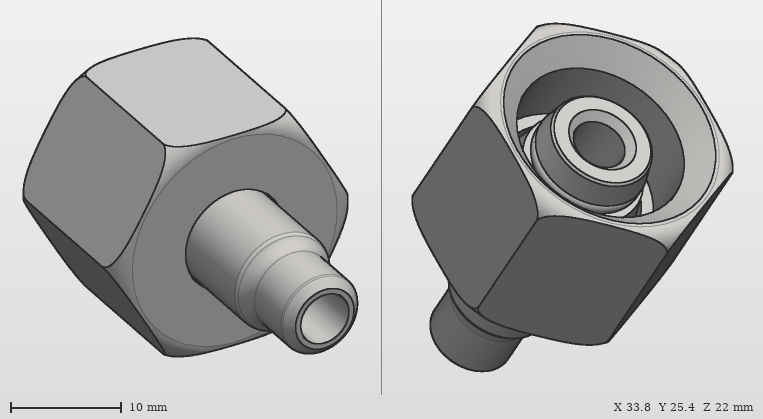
import cadquery as cq
import math

total_length = 33.75

nut_length = 17.55
across_flats = 22.0
across_corners = across_flats / math.cos(math.radians(30))
corner_round = 2.03
mouth_radius = 10.35
thread_bore_radius = 16.37 / 2
mouth_depth = mouth_radius - thread_bore_radius
thread_bore_end = 9.45
collar_radius = 14.0 / 2
shank_hole_radius = 10.23 / 2

cone_half_angle = math.radians(12)
cone_slope = math.tan(cone_half_angle)
nipple_start = 1.7
nose_radius = 4.95
nose_chamfer = 0.25
cone_start = nipple_start + nose_chamfer
cone_end = cone_start + (collar_radius - nose_radius) / cone_slope
shank_radius = 9.93 / 2
shank_end = 26.0
shoulder_round = 0.5
neck_round = 2.0
tail_radius = 8.0 / 2
tail_chamfer = 0.95
tail_edge_round = 0.27
bore_radius = 5.03 / 2
bore_chamfer = 0.78

groove_front_radius = 5.47
groove_start = cone_start + (groove_front_radius - nose_radius) / cone_slope
groove_width = 2.0
groove_end = groove_start + groove_width
groove_back_radius = groove_front_radius + groove_width * cone_slope
ring_section_radius = 0.75
ring_center_radius = groove_front_radius - ring_section_radius
groove_floor_radius = ring_center_radius - ring_section_radius


def revolve_about_x(profile):
    """Turn a closed (x, radius) profile about the X axis."""
    return profile.revolve(360, (0, 0, 0), (1, 0, 0))


def make_nut():
    hexagon = cq.Workplane("YZ").polygon(6, across_corners).extrude(nut_length)
    corner_radius = across_corners / 2
    rounded_blank = (
        cq.Workplane("YZ").circle(corner_radius).extrude(nut_length).edges().fillet(corner_round)
    )
    cavity = revolve_about_x(
        cq.Workplane("XY").polyline([
            (0, 0),
            (0, mouth_radius),
            (mouth_depth, thread_bore_radius),
            (thread_bore_end, thread_bore_radius),
            (thread_bore_end, collar_radius),
            (cone_end, collar_radius),
            (cone_end, shank_hole_radius),
            (nut_length, shank_hole_radius),
            (nut_length, 0),
        ]).close()
    )
    return hexagon.intersect(rounded_blank).cut(cavity)


def make_nipple():
    neck_angle = math.acos(1 - (shank_radius - tail_radius) / (shoulder_round + neck_round))
    shoulder_end = shank_end + shoulder_round * math.sin(neck_angle)
    shoulder_end_radius = shank_radius - shoulder_round * (1 - math.cos(neck_angle))
    neck_end = shoulder_end + neck_round * math.sin(neck_angle)

    tail_corner = total_length - tail_chamfer
    edge_tangent = tail_edge_round * math.tan(math.radians(22.5))
    edge_offset = edge_tangent * math.cos(math.radians(45))

    return revolve_about_x(
        cq.Workplane("XY")
        .moveTo(nipple_start, bore_radius + bore_chamfer)
        .lineTo(nipple_start, nose_radius - nose_chamfer)
        .lineTo(cone_start, nose_radius)
        .lineTo(groove_start, groove_front_radius)
        .lineTo(groove_start, groove_floor_radius)
        .lineTo(groove_end, groove_floor_radius)
        .lineTo(groove_end, groove_back_radius)
        .lineTo(cone_end, collar_radius)
        .lineTo(cone_end, shank_radius)
        .lineTo(shank_end, shank_radius)
        .tangentArcPoint((shoulder_end, shoulder_end_radius), relative=False)
        .tangentArcPoint((neck_end, tail_radius), relative=False)
        .lineTo(tail_corner - edge_tangent, tail_radius)
        .tangentArcPoint((tail_corner + edge_offset, tail_radius - edge_offset), relative=False)
        .lineTo(total_length, tail_radius - tail_chamfer)
        .lineTo(total_length, bore_radius)
        .lineTo(nipple_start + bore_chamfer, bore_radius)
        .close()
    )


def make_o_ring():
    ring_center_x = groove_start + groove_width / 2
    return cq.Workplane("XY").add(
        cq.Solid.makeTorus(
            ring_center_radius,
            ring_section_radius,
            cq.Vector(ring_center_x, 0, 0),
            cq.Vector(1, 0, 0),
        )
    )


nut = make_nut()
nipple = make_nipple()
o_ring = make_o_ring()

result = cq.Compound.makeCompound([nut.val(), nipple.val(), o_ring.val()])